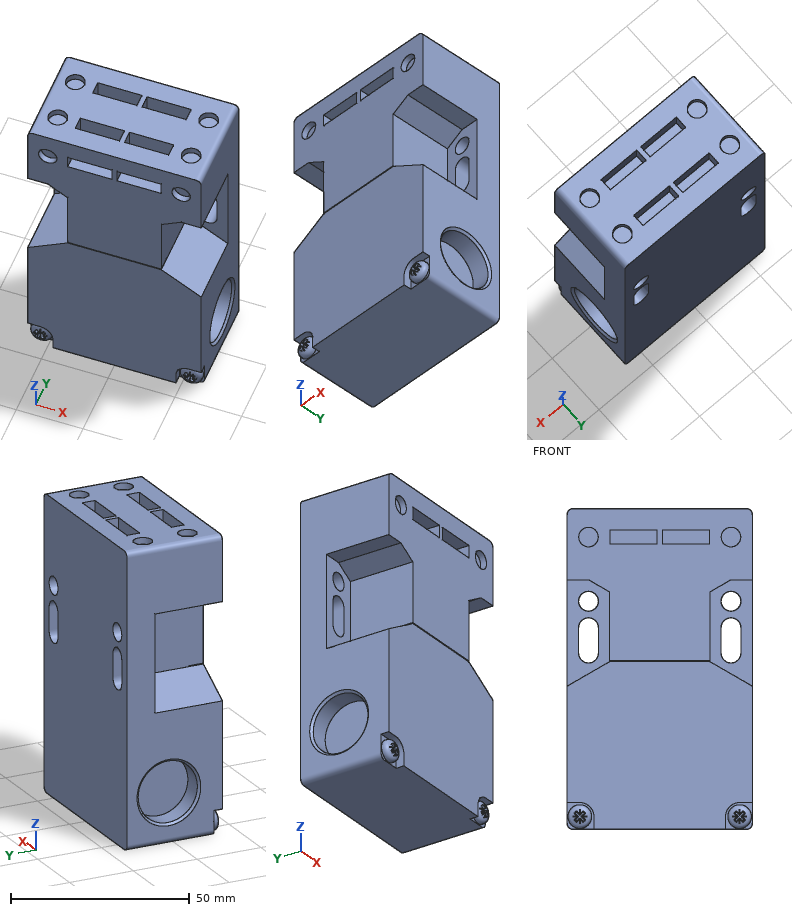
import cadquery as cq
import math

WIDTH = 52.0
DEPTH = 30.0
HEIGHT = 90.0
CORNER_RADIUS = 1.7
FRONT_Y = -DEPTH / 2
BACK_Y = DEPTH / 2

NECK_HALF_WIDTH = 14.0
FLANGE_THICKNESS = 8.8
NOTCH_TOP_Z = HEIGHT - 20.0
NOTCH_BOTTOM_Z = HEIGHT - 42.9
NOTCH_SLOPE = math.tan(math.radians(30))

MOUNT_X = 20.0
MOUNT_DIAMETER = 5.5
FLANGE_HOLE_Z = HEIGHT - 26.0
FLANGE_SLOT_Z = HEIGHT - 37.0
FLANGE_SLOT_LENGTH = 12.6
HEAD_HOLE_DEPTH = 2.0

KEY_INSET = 8.0
KEY_LENGTH = 13.2
KEY_HEIGHT = 4.0
KEY_X = 7.4
KEY_DEPTH = 5.4

GAP_HEIGHT = 0.3
GAP_DEPTH = 4.4

ENTRY_Y = BACK_Y - 13.1
ENTRY_Z = 15.5
ENTRY_DIAMETER = 18.5
ENTRY_CHAMFER = 0.7
ENTRY_DEPTH = 6.7

POCKET_SIZE = 7.6
POCKET_DEPTH = 2.6
SCREW_INSET = 3.6
SCREW_RADIUS = 3.3
COLLAR_HEIGHT = 0.6
DOME_RADIUS = 2.7
DOME_START = 1.8
DOME_HEIGHT = 2.5
RECESS_DEPTH = 1.35
RECESS_TAPER = 12
CROSS_LENGTH = 3.8
CROSS_WIDTH = 1.1
STAR_LENGTH = 4.0
STAR_WIDTH = 0.3
STAR_DEPTH = 0.8


def front_plane(y):
    """Sketch plane at depth y: local X is X, local Y is Z, extruding toward the front."""
    return cq.Workplane("XZ", origin=(0, y, 0))


def housing():
    block = cq.Workplane("XY").box(WIDTH, DEPTH, HEIGHT, centered=(True, True, False))
    return block.edges("|Y").fillet(CORNER_RADIUS)


def side_notch(side):
    half_width = WIDTH / 2
    top_slope_drop = (MOUNT_X - NECK_HALF_WIDTH) * NOTCH_SLOPE
    bottom_slope_drop = (half_width - NECK_HALF_WIDTH) * NOTCH_SLOPE
    outline = [
        (half_width, NOTCH_TOP_Z),
        (MOUNT_X, NOTCH_TOP_Z),
        (NECK_HALF_WIDTH, NOTCH_TOP_Z - top_slope_drop),
        (NECK_HALF_WIDTH, NOTCH_BOTTOM_Z),
        (half_width, NOTCH_BOTTOM_Z - bottom_slope_drop),
    ]
    points = [(side * x, z) for x, z in outline]
    return front_plane(BACK_Y - FLANGE_THICKNESS).polyline(points).close().extrude(DEPTH)


def flange_openings():
    hole_places = [(side * MOUNT_X, FLANGE_HOLE_Z) for side in (-1, 1)]
    slot_places = [(side * MOUNT_X, FLANGE_SLOT_Z) for side in (-1, 1)]
    holes = front_plane(BACK_Y).pushPoints(hole_places).circle(MOUNT_DIAMETER / 2).extrude(DEPTH)
    slots = (
        front_plane(BACK_Y).pushPoints(slot_places)
        .slot2D(FLANGE_SLOT_LENGTH, MOUNT_DIAMETER, 90).extrude(DEPTH)
    )
    return holes.union(slots)


def head_openings(face_plane, row_offset):
    """One row of two mounting holes and two key slots, sunk into the given face."""
    hole_places = [(side * MOUNT_X, row_offset) for side in (-1, 1)]
    key_places = [(side * KEY_X, row_offset) for side in (-1, 1)]
    holes = face_plane.pushPoints(hole_places).circle(MOUNT_DIAMETER / 2).extrude(-HEAD_HOLE_DEPTH)
    keys = face_plane.pushPoints(key_places).rect(KEY_LENGTH, KEY_HEIGHT).extrude(-KEY_DEPTH)
    return holes.union(keys)


def head_gap():
    return (
        front_plane(FRONT_Y).center(0, NOTCH_BOTTOM_Z + GAP_HEIGHT / 2)
        .rect(2 * NECK_HALF_WIDTH, GAP_HEIGHT).extrude(-GAP_DEPTH)
    )


def cable_entry(side):
    face = cq.Plane(origin=(side * WIDTH / 2, ENTRY_Y, ENTRY_Z), xDir=(0, 1, 0), normal=(side, 0, 0))
    radius = ENTRY_DIAMETER / 2
    bore = cq.Workplane(face).circle(radius).extrude(-ENTRY_DEPTH)
    mouth = (
        cq.Workplane(face).circle(radius + ENTRY_CHAMFER)
        .workplane(offset=-ENTRY_CHAMFER).circle(radius).loft()
    )
    return bore.union(mouth)


def corner_pocket(side):
    size = POCKET_SIZE + CORNER_RADIUS
    pocket = (
        front_plane(FRONT_Y).center(side * (WIDTH / 2 - POCKET_SIZE + size / 2), POCKET_SIZE - size / 2)
        .rect(size, size).extrude(-POCKET_DEPTH)
    )
    inner_edge = cq.selectors.NearestToPointSelector(
        (side * (WIDTH / 2 - POCKET_SIZE), FRONT_Y + POCKET_DEPTH / 2, POCKET_SIZE)
    )
    return pocket.edges("|Y").edges(inner_edge).fillet(POCKET_SIZE - SCREW_INSET)


def screw_head():
    """Domed head on a short collar, standing on Z = 0, with a tapered cross and a thin star cut in."""
    dome_rise = DOME_HEIGHT - DOME_START
    sphere_radius = (DOME_RADIUS ** 2 + dome_rise ** 2) / (2 * dome_rise)
    dome_middle_x = DOME_RADIUS / 2
    dome_middle_z = DOME_HEIGHT - sphere_radius + math.sqrt(sphere_radius ** 2 - dome_middle_x ** 2)
    profile = (
        cq.Workplane("XZ").lineTo(SCREW_RADIUS, 0).lineTo(SCREW_RADIUS, COLLAR_HEIGHT)
        .tangentArcPoint((DOME_RADIUS, DOME_START), relative=False)
        .threePointArc((dome_middle_x, dome_middle_z), (0, DOME_HEIGHT))
        .close()
    )
    head = profile.revolve(360, (0, 0, 0), (0, 1, 0))
    top = cq.Workplane("XY", origin=(0, 0, DOME_HEIGHT))
    for turn in (0, 90):
        star_arm = top.transformed(rotate=(0, 0, turn)).rect(STAR_LENGTH, STAR_WIDTH).extrude(-STAR_DEPTH)
        cross_arm = (
            top.transformed(rotate=(0, 0, turn + 45)).rect(CROSS_LENGTH, CROSS_WIDTH)
            .extrude(-RECESS_DEPTH, taper=RECESS_TAPER)
        )
        head = head.cut(star_arm).cut(cross_arm)
    return head


def screw(side):
    place = (side * (WIDTH / 2 - SCREW_INSET), FRONT_Y + POCKET_DEPTH, SCREW_INSET)
    return screw_head().rotate((0, 0, 0), (1, 0, 0), 90).translate(place)


result = housing().cut(flange_openings()).cut(head_gap())

top_face = cq.Workplane("XY", origin=(0, 0, HEIGHT))
for row_y in (FRONT_Y + KEY_INSET, BACK_Y - KEY_INSET):
    result = result.cut(head_openings(top_face, row_y))
result = result.cut(head_openings(front_plane(FRONT_Y), HEIGHT - KEY_INSET))

for side in (-1, 1):
    result = result.cut(side_notch(side))
    result = result.cut(cable_entry(side))
    result = result.cut(corner_pocket(side))
    result = result.union(screw(side))